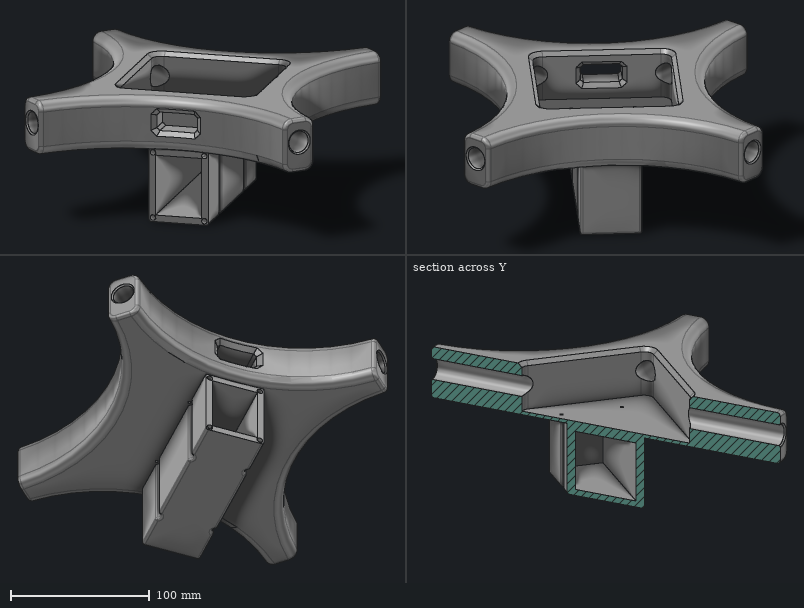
import cadquery as cq
import math

span = 283.5
plate_thickness = 40.0
arm_tip_width = 25.0
waist_distance = 71.8
long_edge_fillet = 7.0
tip_fillet = 2.8

pocket_width = 100.5
pocket_corner_radius = 7.5
pocket_floor_thickness = 3.0
pocket_rim_chamfer = 3.0

bore_diameter = 16.0
bore_height = 22.5
bore_rim_chamfer = 1.0

window_length = 30.3
window_height = 14.0
window_corner_cut = 2.3
window_chamfer = 3.5
window_mid_height = 21.5

box_length = 130.2
box_width = 44.8
box_height = 55.0
box_wall = 5.0
box_fillet = 2.0

groove_diameter = 6.0
floor_hole_diameter = 2.0
hole_spacing_along = 66.0
hole_spacing_across = 46.0
hole_points = [
    (sx * hole_spacing_along / 2, sy * hole_spacing_across / 2)
    for sx in (-1, 1)
    for sy in (-1, 1)
]

screw_diameter = 4.0
screw_inset = 3.0
screw_depth = 10.0

diagonal_angle = -45


def turned(shape, angle):
    return shape.rotate((0, 0, 0), (0, 0, 1), angle)


def star_plate():
    tip = span / 2
    half_width = arm_tip_width / 2
    side = waist_distance / math.sqrt(2)
    outline = (
        cq.Workplane("XY")
        .moveTo(tip, half_width)
        .threePointArc((side, side), (half_width, tip))
        .lineTo(-half_width, tip)
        .threePointArc((-side, side), (-tip, half_width))
        .lineTo(-tip, -half_width)
        .threePointArc((-side, -side), (-half_width, -tip))
        .lineTo(half_width, -tip)
        .threePointArc((side, -side), (tip, -half_width))
        .close()
    )
    plate = outline.extrude(plate_thickness)
    plate = plate.faces("|Z").edges("%CIRCLE").fillet(long_edge_fillet)
    return plate.faces("<X or >X or <Y or >Y").edges().fillet(tip_fillet)


def box():
    body = cq.Workplane("XY").box(box_length, box_width, box_height, centered=(True, True, False))
    body = body.translate((0, 0, -box_height))
    grooves = (
        cq.Workplane("XY").pushPoints(hole_points).circle(groove_diameter / 2).extrude(-box_height)
    )
    body = body.cut(grooves)
    open_end = cq.selectors.BoxSelector(
        (box_length / 2 - box_fillet, -box_width, -2 * box_height),
        (box_length / 2 + box_fillet, box_width, box_height),
    )
    outer_edges = cq.selectors.StringSyntaxSelector("|Z or <Z") - open_end
    return body.edges(outer_edges).fillet(box_fillet)


def box_cavity():
    return (
        cq.Workplane("YZ", origin=(box_length / 2, 0, -box_height / 2))
        .rect(box_width - 2 * box_wall, box_height - 2 * box_wall)
        .extrude(box_wall - box_length)
    )


def screw_holes():
    return (
        cq.Workplane("YZ", origin=(box_length / 2, 0, -box_height / 2))
        .rect(box_width - 2 * screw_inset, box_height - 2 * screw_inset, forConstruction=True)
        .vertices()
        .circle(screw_diameter / 2)
        .extrude(-screw_depth)
    )


def pocket():
    depth = plate_thickness - pocket_floor_thickness
    rim_taper = -45
    recess = (
        cq.Workplane("XY", origin=(0, 0, pocket_floor_thickness))
        .rect(pocket_width, pocket_width)
        .extrude(depth)
        .edges("|Z")
        .fillet(pocket_corner_radius)
    )
    rim = (
        cq.Workplane("XY", origin=(0, 0, plate_thickness - pocket_rim_chamfer))
        .sketch()
        .rect(pocket_width, pocket_width)
        .vertices()
        .fillet(pocket_corner_radius)
        .finalize()
        .extrude(pocket_rim_chamfer, taper=rim_taper)
    )
    return recess.union(rim)


def floor_holes():
    return (
        cq.Workplane("XY")
        .pushPoints(hole_points)
        .circle(floor_hole_diameter / 2)
        .extrude(pocket_floor_thickness)
    )


def arm_bore():
    bore = cq.Workplane("YZ", origin=(-span / 2, 0, bore_height)).circle(bore_diameter / 2).extrude(span)
    for end, inward in ((-span / 2, 1), (span / 2, -1)):
        countersink = cq.Solid.makeCone(
            bore_diameter / 2 + bore_rim_chamfer,
            bore_diameter / 2,
            bore_rim_chamfer,
            cq.Vector(end, 0, bore_height),
            cq.Vector(inward, 0, 0),
        )
        bore = bore.union(cq.Workplane(countersink))
    return bore


def window():
    return (
        cq.Workplane("YZ", origin=(0, 0, window_mid_height))
        .rect(window_length, window_height)
        .extrude(span / 2)
        .edges("|X")
        .chamfer(window_corner_cut)
    )


def chamfer_window(body):
    selection_margin = 0.3
    half_length = window_length / 2 + selection_margin
    half_height = window_height / 2 + selection_margin
    around_window = cq.selectors.BoxSelector(
        (0, -half_length, window_mid_height - half_height),
        (span / 2, half_length, window_mid_height + half_height),
    )
    rim_edges = around_window - cq.selectors.StringSyntaxSelector("|X")
    return body.edges(rim_edges).chamfer(window_chamfer)


bore = arm_bore()
plate = star_plate().cut(bore).cut(turned(bore, 90))
plate = turned(plate, -diagonal_angle).cut(pocket()).cut(window())
plate = chamfer_window(plate)

result = plate.union(box()).cut(box_cavity()).cut(screw_holes()).cut(floor_holes())
result = turned(result, diagonal_angle)